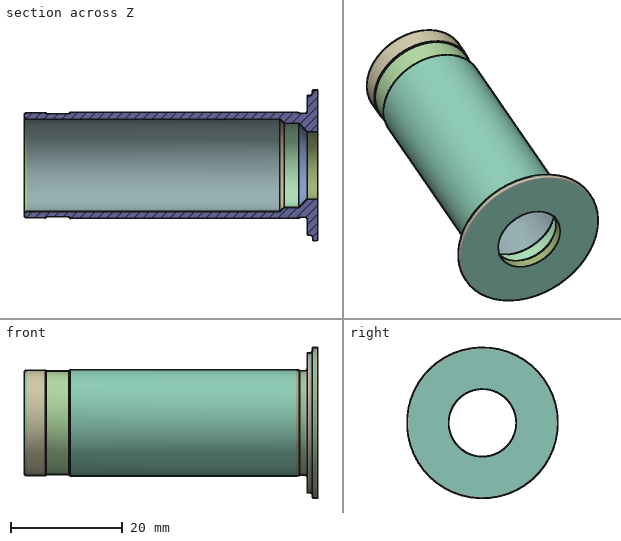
import cadquery as cq
import math

LENGTH = 52.5

tube_radius = 19.05 / 2
band_radius = 18.85 / 2
groove_radius = 18.55 / 2
neck_radius = 18.65 / 2
rim_round = 0.5
band_end = 3.85
groove_end = 8.05
tube_taper_start = 48.55
tube_end = 49.15

shoulder_radius = 25.0 / 2
flange_radius = 27.0 / 2
shoulder_face = 50.55
disc_face = 51.5
neck_fillet = 0.35
shoulder_round = 0.15
shoulder_fillet = 0.45
disc_round = 0.25

mouth_radius = 16.5 / 2
throat_radius = 15.0 / 2
outlet_radius = 12.0 / 2
throat_length = 2.6
outlet_start = shoulder_face
throat_end = outlet_start - (throat_radius - outlet_radius)
mouth_cone_end = throat_end - throat_length

DIAGONAL = math.sqrt(0.5)


def quarter_round(profile, center, start_direction, end_direction, radius):
    """Add a quarter circle from the current point, given its centre and end directions."""
    middle = [(a + b) * DIAGONAL for a, b in zip(start_direction, end_direction)]
    through = tuple(c + radius * m for c, m in zip(center, middle))
    end = tuple(c + radius * d for c, d in zip(center, end_direction))
    return profile.threePointArc(through, end)


FRONT, BACK, OUT, IN = (-1, 0), (1, 0), (0, 1), (0, -1)


def sleeve_outline(profile):
    """Rounded rim, end band, shallow groove, main tube and neck; ends at the neck fillet."""
    profile = profile.lineTo(0, band_radius - rim_round)
    profile = quarter_round(profile, (rim_round, band_radius - rim_round), FRONT, OUT, rim_round)
    profile = profile.lineTo(band_end, band_radius)
    profile = profile.lineTo(band_end + band_radius - groove_radius, groove_radius)
    profile = profile.lineTo(groove_end, groove_radius)
    profile = profile.lineTo(groove_end + tube_radius - groove_radius, tube_radius)
    profile = profile.lineTo(tube_taper_start, tube_radius)
    profile = profile.lineTo(tube_end, band_radius)
    profile = profile.lineTo(tube_end + band_radius - neck_radius, neck_radius)
    return profile.lineTo(shoulder_face - neck_fillet, neck_radius)


def flange_outline(profile):
    """Neck fillet, shoulder and disc with rounded edges; ends on the back face."""
    profile = quarter_round(
        profile, (shoulder_face - neck_fillet, neck_radius + neck_fillet), IN, BACK, neck_fillet
    )
    profile = profile.lineTo(shoulder_face, shoulder_radius - shoulder_round)
    profile = quarter_round(
        profile,
        (shoulder_face + shoulder_round, shoulder_radius - shoulder_round),
        FRONT, OUT, shoulder_round,
    )
    profile = profile.lineTo(disc_face - shoulder_fillet, shoulder_radius)
    profile = quarter_round(
        profile, (disc_face - shoulder_fillet, shoulder_radius + shoulder_fillet), IN, BACK, shoulder_fillet
    )
    edge = flange_radius - disc_round
    profile = profile.lineTo(disc_face, edge)
    profile = quarter_round(profile, (disc_face + disc_round, edge), FRONT, OUT, disc_round)
    profile = profile.lineTo(LENGTH - disc_round, flange_radius)
    return quarter_round(profile, (LENGTH - disc_round, edge), OUT, BACK, disc_round)


def bore_outline(profile):
    """Outlet, throat and mouth joined by 45 degree cones, then the inner rounding of the rim."""
    profile = profile.lineTo(LENGTH, outlet_radius)
    profile = profile.lineTo(outlet_start, outlet_radius)
    profile = profile.lineTo(throat_end, throat_radius)
    profile = profile.lineTo(mouth_cone_end, throat_radius)
    profile = profile.lineTo(mouth_cone_end - (mouth_radius - throat_radius), mouth_radius)
    profile = profile.lineTo(rim_round, mouth_radius)
    return quarter_round(profile, (rim_round, mouth_radius + rim_round), IN, FRONT, rim_round)


outline = cq.Workplane("XY").moveTo(0, mouth_radius + rim_round)
for add_section in (sleeve_outline, flange_outline, bore_outline):
    outline = add_section(outline)

result = outline.close().revolve(360, (0, 0, 0), (1, 0, 0))